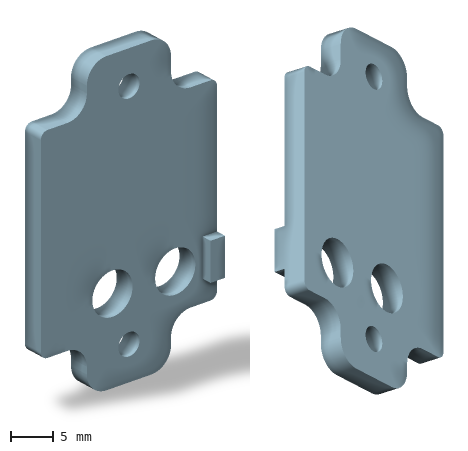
import cadquery as cq

plate_thickness = 3.0
plate_width = 26.8
total_height = 44.0

body_bottom = -15.0
body_top = 15.0
lowered_top = 14.0
body_corner_radius = 1.0

tab_width = 12.8
tab_zone_margin = 0.45
tab_radius = 3.0
tab_hole_diameter = 3.2
tab_hole_offset = 17.0

large_hole_diameter = 6.1
large_hole_z = -9.55
large_hole_y_positions = (7.05, -2.5)

pad_thickness = 1.5
pad_width = 2.2
pad_height = 5.55
pad_center_z = -8.98

half_width = plate_width / 2
half_height = total_height / 2
half_tab = tab_width / 2


def build_plate():
    """Extrude the tabbed outline and round its corners."""
    outline = [
        (half_tab, half_height),
        (half_tab, lowered_top),
        (half_width, lowered_top),
        (half_width, body_bottom),
        (half_tab, body_bottom),
        (half_tab, -half_height),
        (-half_tab, -half_height),
        (-half_tab, body_bottom),
        (-half_width, body_bottom),
        (-half_width, body_top),
        (-half_tab, body_top),
        (-half_tab, half_height),
    ]
    plate = cq.Workplane("YZ").polyline(outline).close().extrude(plate_thickness)
    plate = plate.edges("|X and (<Y or >Y)").fillet(body_corner_radius)

    tab_zone = cq.selectors.BoxSelector(
        (-plate_thickness, -half_tab - tab_zone_margin, -total_height),
        (2 * plate_thickness, half_tab + tab_zone_margin, total_height),
    )
    return plate.edges("|X").edges(tab_zone).fillet(tab_radius)


def cut_holes(plate, centers, diameter):
    """Cut round through holes at the given (Y, Z) centers."""
    cutters = cq.Workplane("YZ").pushPoints(centers).circle(diameter / 2).extrude(plate_thickness)
    return plate.cut(cutters)


def build_pad():
    """Rectangular pad standing on the +X face."""
    return (
        cq.Workplane("YZ", origin=(plate_thickness, 0, 0))
        .center(half_width - pad_width / 2, pad_center_z)
        .rect(pad_width, pad_height)
        .extrude(pad_thickness)
    )


tab_hole_centers = [(0, tab_hole_offset), (0, -tab_hole_offset)]
large_hole_centers = [(y, large_hole_z) for y in large_hole_y_positions]

result = build_plate()
result = cut_holes(result, tab_hole_centers, tab_hole_diameter)
result = cut_holes(result, large_hole_centers, large_hole_diameter)
result = result.union(build_pad())